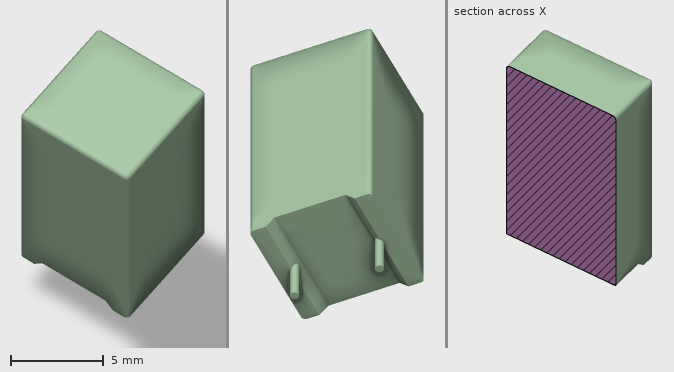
import cadquery as cq

total_height = 15.0
body_width = 7.2
body_depth = 7.2
pin_length = 2.0
body_height = total_height - pin_length
edge_radius = 0.25

relief_height = 0.5
relief_bottom_width = 5.25
relief_top_width = 4.2

pin_diameter = 0.5
pin_spacing = 5.0


def make_body():
    """Box standing on Z = 0 with rounded upright and top edges."""
    box = cq.Workplane("XY").box(body_width, body_depth, body_height, centered=(True, True, False))
    return box.edges("|Z or >Z").fillet(edge_radius)


def make_relief():
    """Trapezoidal channel running through the full depth of the body."""
    return (
        cq.Workplane("XZ")
        .moveTo(-relief_bottom_width / 2, 0)
        .lineTo(-relief_top_width / 2, relief_height)
        .lineTo(relief_top_width / 2, relief_height)
        .lineTo(relief_bottom_width / 2, 0)
        .close()
        .extrude(body_depth / 2, both=True)
    )


def make_pins():
    """Two pins below the body, reaching up to the roof of the relief."""
    return (
        cq.Workplane("XY", origin=(0, 0, -pin_length))
        .pushPoints([(-pin_spacing / 2, 0), (pin_spacing / 2, 0)])
        .circle(pin_diameter / 2)
        .extrude(pin_length + relief_height)
    )


result = make_body().cut(make_relief()).union(make_pins())